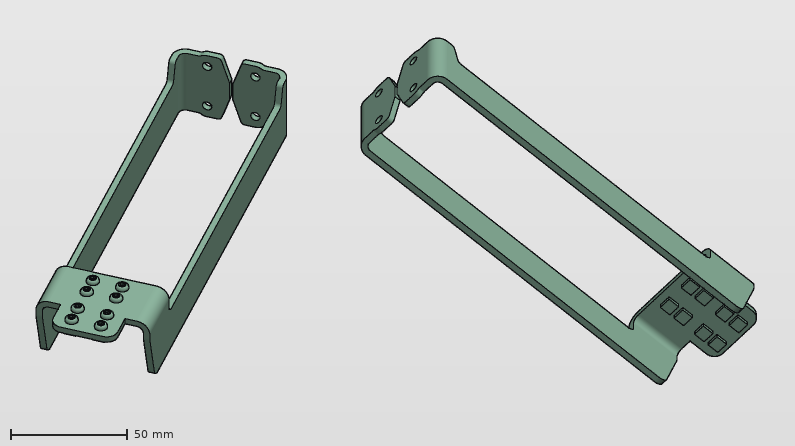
import cadquery as cq
import math

length = 200.0
width = 52.0
sheet = 3.0
bend_outer = 6.0
bend_inner = bend_outer - sheet
half_width = width / 2
bend_line = half_width - bend_outer

flange_height = 34.0
flange_step = 1.2
wall_bottom = flange_step
wall_rear_top = flange_height - flange_step
rail_top = 22.5
head_height = 1.8
overall_height = 37.5
bridge_top = overall_height - head_height
bridge_bottom = bridge_top - sheet

slant = math.tan(math.radians(15))
bridge_front = 14.5
bridge_rear = 40.0
nose_top = 26.8
shoulder_y = length - 10.0
nose_top_radius = 5.0
nose_bottom_radius = 5.0
notch_radius = 3.0
shoulder_radius = 2.0

tab_width = 29.5
tab_corner_radius = 5.0

flange_gap = 1.5
flange_tip_half = 4.5
flange_centre = flange_height / 2
step_outer_x = 14.5
step_run = 2.0
step_inner_x = step_outer_x - step_run
step_inside_radius = 1.0
step_outside_radius = 4.0
flange_corner_x = 4.8
flange_corner_radius = 2.0
mount_hole_diameter = 4.2
mount_hole_spacing = 22.0

screw_spacing = 13.5
screw_x = screw_spacing / 2
screw_ys = (6.0, 14.0, 26.0, 34.0)
head_diameter = 5.8
head_flat_diameter = 3.2
dome_radius = 2.5
dome_height = 1.2
shank_diameter = 3.0
socket_across_flats = 2.0
socket_depth = 1.0
socket_tip_depth = 0.8
nut_width = 5.5
nut_height = 2.0
nut_clearance = 1.0


def plan_rails():
    """Both long walls with their rear bends, uncut in height."""
    outer_bend_y = length - bend_outer
    inner_x = half_width - sheet
    diagonal = math.sqrt(0.5)
    rail = (
        cq.Workplane("XY")
        .moveTo(half_width, bridge_rear)
        .lineTo(half_width, outer_bend_y)
        .threePointArc(
            (bend_line + bend_outer * diagonal, outer_bend_y + bend_outer * diagonal),
            (bend_line, length),
        )
        .lineTo(bend_line, length - sheet)
        .threePointArc(
            (bend_line + bend_inner * diagonal, outer_bend_y + bend_inner * diagonal),
            (inner_x, outer_bend_y),
        )
        .lineTo(inner_x, bridge_rear)
        .close()
        .extrude(bridge_top)
    )
    return rail.union(rail.mirror("YZ"))


def bridge_hood():
    """Front channel: the bridge folded down into both side walls."""
    depth = bridge_rear - bridge_front

    def rounded_block(block_width, top, radius):
        return (
            cq.Workplane("XY")
            .box(block_width, depth, top, centered=(True, False, False))
            .translate((0, bridge_front, 0))
            .edges("|Y and >Z")
            .fillet(radius)
        )

    outside = rounded_block(width, bridge_top, bend_outer)
    inside = rounded_block(width - 2 * sheet, bridge_bottom, bend_inner)
    return outside.cut(inside)


def side_envelope():
    """Side outline of the walls, run across the full width."""
    nose_bottom_y = bridge_front + (nose_top - wall_bottom) * slant
    shoulder_foot_y = shoulder_y - (wall_rear_top - rail_top) * slant
    nose_top_corner = (bridge_front, nose_top)
    nose_bottom_corner = (nose_bottom_y, wall_bottom)
    notch_corner = (bridge_rear, rail_top)
    shoulder_foot = (shoulder_foot_y, rail_top)
    shoulder_top = (shoulder_y, wall_rear_top)
    envelope = (
        cq.Workplane("YZ")
        .polyline([
            (bridge_front, bridge_top),
            nose_top_corner,
            nose_bottom_corner,
            (length, wall_bottom),
            (length, wall_rear_top),
            shoulder_top,
            shoulder_foot,
            notch_corner,
            (bridge_rear, bridge_top),
        ])
        .close()
        .extrude(half_width, both=True)
    )
    roundings = (
        (nose_top_corner, nose_top_radius),
        (nose_bottom_corner, nose_bottom_radius),
        (notch_corner, notch_radius),
        (shoulder_foot, shoulder_radius),
        (shoulder_top, shoulder_radius),
    )
    for (y, z), radius in roundings:
        corner = cq.selectors.NearestToPointSelector((0, y, z))
        envelope = envelope.edges("|X").edges(corner).fillet(radius)
    return envelope


def rear_flanges():
    """Pair of inward flanges with tapered inner ends and two mounting holes each."""
    tip_x = flange_gap / 2
    lower = [
        (bend_line, wall_bottom),
        (step_outer_x, wall_bottom),
        (step_inner_x, 0),
        (flange_corner_x, 0),
        (tip_x, flange_centre - flange_tip_half),
    ]
    upper = [(x, flange_height - z) for x, z in reversed(lower)]
    flange = (
        cq.Workplane("XZ", origin=(0, length, 0))
        .polyline(lower + upper)
        .close()
        .extrude(sheet)
    )
    roundings = (
        (step_outer_x, wall_bottom, step_inside_radius),
        (step_inner_x, 0, step_outside_radius),
        (flange_corner_x, 0, flange_corner_radius),
    )
    for x, z, radius in roundings:
        for corner_z in (z, flange_height - z):
            corner = cq.selectors.NearestToPointSelector((x, length - sheet / 2, corner_z))
            flange = flange.edges("|Y").edges(corner).fillet(radius)
    offset = mount_hole_spacing / 2
    holes = (
        cq.Workplane("XZ", origin=(0, length, 0))
        .pushPoints([(offset, flange_centre - offset), (offset, flange_centre + offset)])
        .circle(mount_hole_diameter / 2)
        .extrude(sheet)
    )
    flange = flange.cut(holes)
    return flange.union(flange.mirror("YZ"))


def front_tab():
    """Narrower tongue continuing the bridge forwards."""
    return (
        cq.Workplane("XY", origin=(0, 0, bridge_bottom))
        .box(tab_width, bridge_front, sheet, centered=(True, False, False))
        .edges("|Z and <Y")
        .fillet(tab_corner_radius)
    )


def screw():
    """Button head with hex socket, shank and square nut, with the bridge top at height zero."""
    nut_top = -sheet - nut_clearance
    base_radius = head_diameter / 2
    flat_radius = head_flat_diameter / 2
    head = (
        cq.Workplane("XZ")
        .lineTo(base_radius, 0)
        .threePointArc((dome_radius, dome_height), (flat_radius, head_height))
        .lineTo(0, head_height)
        .close()
        .revolve(360, (0, 0, 0), (0, 1, 0))
    )
    socket = (
        cq.Workplane("XY", origin=(0, 0, head_height))
        .polygon(6, socket_across_flats, circumscribed=True)
        .extrude(-socket_depth)
    )
    socket_tip = cq.Workplane(
        cq.Solid.makeCone(
            socket_across_flats / 2,
            0,
            socket_tip_depth,
            pnt=cq.Vector(0, 0, head_height - socket_depth),
            dir=cq.Vector(0, 0, -1),
        )
    )
    shank = cq.Workplane("XY").circle(shank_diameter / 2).extrude(nut_top)
    nut = (
        cq.Workplane("XY", origin=(0, 0, nut_top))
        .rect(nut_width, nut_width)
        .extrude(-nut_height)
    )
    return head.union(shank).union(nut).cut(socket).cut(socket_tip)


result = plan_rails().union(bridge_hood()).intersect(side_envelope())
result = result.union(rear_flanges()).union(front_tab())
for y in screw_ys:
    for x in (-screw_x, screw_x):
        result = result.union(screw().translate((x, y, bridge_top)))